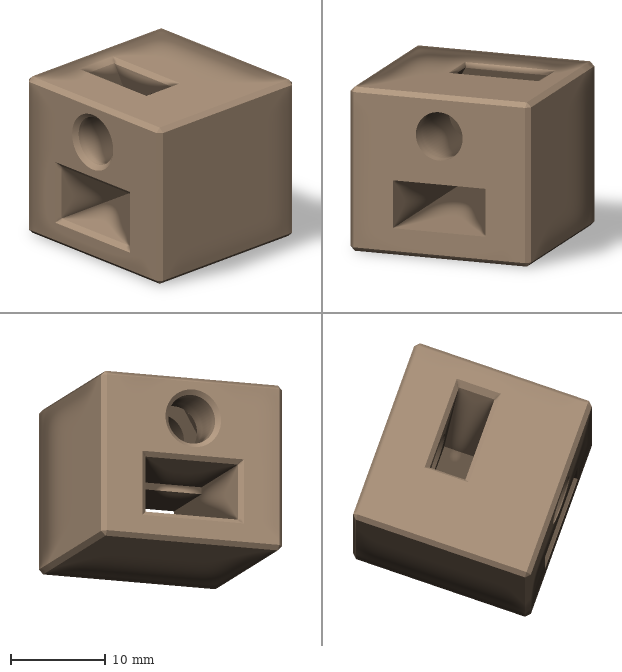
import cadquery as cq
import math

length = 20.5
depth = 20.0
height = 18.0
edge_chamfer = 0.5
top_z = height / 2
front_y = -depth / 2

hole_diameter = 5.3
hole_z = 4.5

window_width = 10.5
window_floor_z = -6.0
window_height = 6.0
ceiling_drop = 0.75
step_y = 1.65

slot_length = 9.3
slot_width = 4.0
slot_centre_x = -2.62
slot_centre_y = -2.0
web_thickness = 0.47
slot_tilt = 30.0


def make_block():
    return cq.Workplane("XY").box(length, depth, height).edges().chamfer(edge_chamfer)


def make_hole():
    return (
        cq.Workplane("XZ", origin=(0, -front_y, hole_z))
        .circle(hole_diameter / 2)
        .extrude(depth)
    )


def make_window():
    rear_height = window_height - ceiling_drop
    base_centred = (True, False, False)
    front = cq.Workplane(origin=(0, front_y, window_floor_z)).box(
        window_width, step_y - front_y, window_height, centered=base_centred
    )
    rear = cq.Workplane(origin=(0, step_y, window_floor_z)).box(
        window_width, -front_y - step_y, rear_height, centered=base_centred
    )
    return front.union(rear)


def make_slot():
    bottom_z = window_floor_z + window_height + web_thickness
    slot_depth = top_z - bottom_z
    lean = slot_depth * math.tan(math.radians(slot_tilt))
    left = slot_centre_x - slot_length / 2
    right = slot_centre_x + slot_length / 2
    return (
        cq.Workplane("XZ", origin=(0, slot_centre_y + slot_width / 2, 0))
        .polyline([(left, top_z), (right, top_z), (right + lean, bottom_z), (left + lean, bottom_z)])
        .close()
        .extrude(slot_width)
    )


def edges_near(body, face_selector, x_limit, y_limit, z_limit):
    """Edges of one outer face whose centres lie within the given distances of its middle."""
    middle_box = cq.selectors.BoxSelector(
        (-x_limit, -y_limit, -z_limit), (x_limit, y_limit, z_limit)
    )
    return body.faces(face_selector).edges(middle_box)


inner_x = length / 2 - 2 * edge_chamfer
inner_y = depth / 2 - 2 * edge_chamfer
inner_z = height / 2 - 2 * edge_chamfer

body = make_block().cut(make_hole()).cut(make_window()).cut(make_slot())
body = edges_near(body, "<Y", inner_x, depth, inner_z).chamfer(edge_chamfer)
body = edges_near(body, ">Z", inner_x, inner_y, height).chamfer(edge_chamfer)
result = body